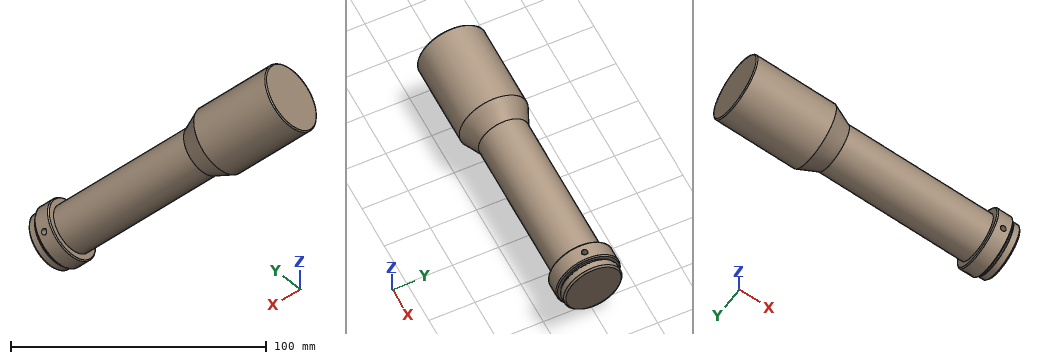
import cadquery as cq
import math

total_length = 127.6

head_diameter = 30.0
head_length = 38.0
head_chamfer = 0.5
cone_length = 9.0
tube_diameter = 22.0

collar_diameter = 28.0
collar_length = 7.6
collar_chamfer = 0.5

mount_length = 4.4
groove_length = 1.0
groove_diameter = 24.2
rim_diameter = 25.4
rim_chamfer = 0.7

hole_count = 3
hole_diameter = 2.5
hole_depth = 5.0
hole_offset = 4.0
drill_point_angle = 118.0

cone_start = head_length
cone_end = cone_start + cone_length
collar_end = total_length - mount_length
collar_start = collar_end - collar_length
rim_start = collar_end + groove_length


def cylinder(start, end, diameter):
    """Solid cylinder about the X axis between two axial stations."""
    return cq.Workplane("YZ", origin=(start, 0, 0)).circle(diameter / 2).extrude(end - start)


def make_head():
    return cylinder(0, head_length, head_diameter).faces("<X").chamfer(head_chamfer)


def make_cone():
    profile = (
        cq.Workplane("XY")
        .moveTo(cone_start, 0)
        .lineTo(cone_start, head_diameter / 2)
        .lineTo(cone_end, tube_diameter / 2)
        .lineTo(cone_end, 0)
        .close()
    )
    return profile.revolve(360, (0, 0, 0), (1, 0, 0))


def make_collar():
    return cylinder(collar_start, collar_end, collar_diameter).faces("<X or >X").chamfer(collar_chamfer)


def make_mount():
    groove = cylinder(collar_end, rim_start, groove_diameter)
    rim = cylinder(rim_start, total_length, rim_diameter).faces(">X").chamfer(rim_chamfer)
    return groove.union(rim)


def make_screw_hole(angle):
    """Drill body with a conical point, entering the collar radially from +Z turned by angle."""
    hole_radius = hole_diameter / 2
    hole_x = collar_start + hole_offset
    mouth_z = collar_diameter / 2
    bottom_z = mouth_z - hole_depth
    tip_z = bottom_z - hole_radius / math.tan(math.radians(drill_point_angle / 2))
    clearance = 1.0
    drill = (
        cq.Workplane("YZ", origin=(hole_x, 0, 0))
        .moveTo(0, tip_z)
        .lineTo(hole_radius, bottom_z)
        .lineTo(hole_radius, mouth_z + clearance)
        .lineTo(0, mouth_z + clearance)
        .close()
        .revolve(360, (0, 0, 0), (0, 1, 0))
    )
    return drill.rotate((0, 0, 0), (1, 0, 0), angle)


tube = cylinder(cone_end, collar_start, tube_diameter)
result = make_head().union(make_cone()).union(tube).union(make_collar()).union(make_mount())
for index in range(hole_count):
    result = result.cut(make_screw_hole(index * 360 / hole_count))